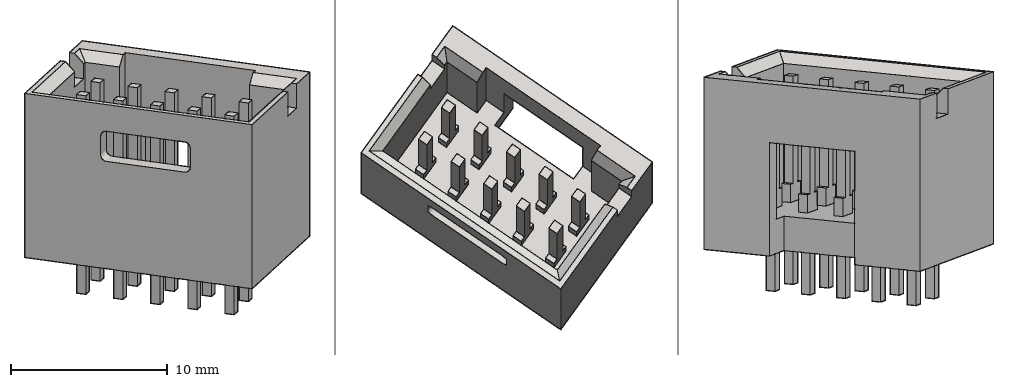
import cadquery as cq

length = 15.54
width = 10.16
body_height = 11.19
floor_thickness = 2.24

side_wall = 0.98
front_wall = 1.01
back_wall = 2.04
side_rim = 0.35
front_rim = 0.39
back_rim = 1.4
lead_in_depth = 0.62

recess_length = 8.89
recess_back_wall = 1.03
opening_length = 6.12
opening_top_drop = 3.82

notch_width = 1.57
notch_depth = 1.65
notch_from_back = 2.3

window_height = 2.05
window_top_drop = 1.82
window_offset = 0.48
window_radius = 0.4

pins_per_row = 5
row_count = 2
pitch = 2.53
pin_size = 0.64
pin_tail = 3.15
pin_top_drop = 0.81
pin_field_y = -0.51
collar_width = 1.35
collar_height = 1.18

half_length = length / 2
half_width = width / 2


def block(x_min, x_max, y_min, y_max, z_min, z_max):
    """Axis-aligned box between opposite corners."""
    size = (x_max - x_min, y_max - y_min, z_max - z_min)
    return cq.Workplane("XY").box(*size, centered=False).translate((x_min, y_min, z_min))


def cavity_outline(end_margin, front_margin, back_margin, z):
    """Closed rectangle at height z, set in from the housing sides."""
    x = half_length - end_margin
    y_front = -half_width + front_margin
    y_back = half_width - back_margin
    corners = [(-x, y_front, z), (x, y_front, z), (x, y_back, z), (-x, y_back, z)]
    return cq.Wire.makePolygon([cq.Vector(*corner) for corner in corners], close=True)


def cavity():
    """Straight-walled cavity with a sloped lead-in around its mouth."""
    lead_in_base = body_height - lead_in_depth
    inner_x = half_length - side_wall
    straight = block(
        -inner_x, inner_x,
        -half_width + front_wall, half_width - back_wall,
        floor_thickness, body_height,
    )
    lower = cavity_outline(side_wall, front_wall, back_wall, lead_in_base)
    upper = cavity_outline(side_rim, front_rim, back_rim, body_height)
    lead_in = cq.Solid.makeLoft([lower, upper], True)
    return straight.union(cq.Workplane(obj=lead_in))


def back_recess():
    """Relief on the inner face of the back wall, from floor to rim."""
    return block(
        -recess_length / 2, recess_length / 2,
        half_width - back_wall, half_width - recess_back_wall,
        floor_thickness, body_height,
    )


def back_opening():
    """Opening through the back wall, running down through the base."""
    return block(
        -opening_length / 2, opening_length / 2,
        half_width - back_wall, half_width,
        0, body_height - opening_top_drop,
    )


def end_notches():
    """Aligned notches in the top of both end walls."""
    notch_back = half_width - notch_from_back
    return block(
        -half_length, half_length,
        notch_back - notch_width, notch_back,
        body_height - notch_depth, body_height,
    )


def front_window():
    """Round-cornered window through the front wall, as long as the back opening."""
    x_min = window_offset - opening_length / 2
    z_max = body_height - window_top_drop
    window = block(
        x_min, x_min + opening_length,
        -half_width, -half_width + front_wall,
        z_max - window_height, z_max,
    )
    return window.edges("|Y").fillet(window_radius)


def pin(x, y):
    """Square pin with a wider collar standing on the floor."""
    half_pin = pin_size / 2
    post = block(
        x - half_pin, x + half_pin,
        y - half_pin, y + half_pin,
        -pin_tail, body_height - pin_top_drop,
    )
    collar = block(
        x - half_pin, x + half_pin,
        y - collar_width / 2, y + collar_width / 2,
        0, floor_thickness + collar_height,
    )
    return post.union(collar)


housing = block(-half_length, half_length, -half_width, half_width, 0, body_height)
for cutter in (cavity(), back_recess(), back_opening(), end_notches(), front_window()):
    housing = housing.cut(cutter)

result = housing
for row in range(row_count):
    pin_y = pin_field_y + (row - (row_count - 1) / 2) * pitch
    for column in range(pins_per_row):
        pin_x = (column - (pins_per_row - 1) / 2) * pitch
        result = result.union(pin(pin_x, pin_y))